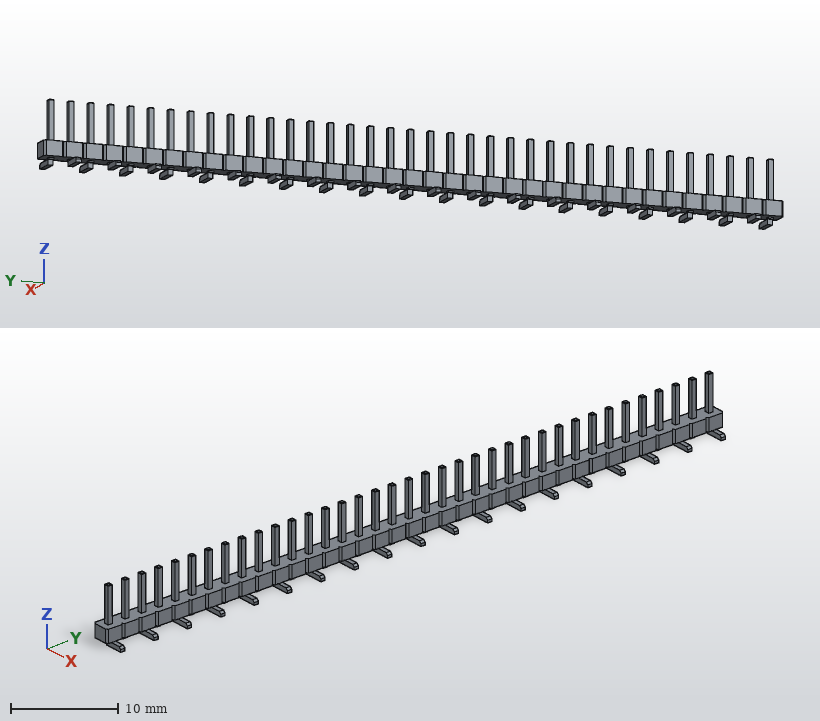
import cadquery as cq

pin_count = 37
strip_length = 74.0
pitch = strip_length / pin_count
overall_height = 6.2
foot_span = 4.2

body_width = 2.0
body_bottom = 0.7
body_height = 1.5
bevel_depth = 0.2
bevel_length = 0.185

pin_width = 0.5
foot_thickness = 0.5
foot_bevel = 0.2
pin_bevel = 0.1


def pin_y(index):
    """Position of a pin along the strip, centred on the origin."""
    return (index - (pin_count - 1) / 2) * pitch


def make_body():
    """Strip of bevelled segments, leaving a V notch where two segments meet."""
    half_width = body_width / 2
    half_pitch = pitch / 2
    side = []
    for index in range(pin_count):
        y = pin_y(index)
        side += [
            (half_width - bevel_depth, y - half_pitch),
            (half_width, y - half_pitch + bevel_length),
            (half_width, y + half_pitch - bevel_length),
        ]
    side.append((half_width - bevel_depth, strip_length / 2))
    opposite_side = [(-x, y) for x, y in reversed(side)]
    return (
        cq.Workplane("XY", origin=(0, 0, body_bottom))
        .polyline(side + opposite_side)
        .close()
        .extrude(body_height)
    )


def make_pin(index):
    """Upright pin whose foot runs from its centre to +X (even index) or -X (odd)."""
    direction = 1 if index % 2 == 0 else -1
    half_pin = pin_width / 2
    tip = foot_span / 2
    profile = [
        (-half_pin, overall_height),
        (-half_pin, foot_thickness),
        (0, foot_thickness),
        (0, 0),
        (tip, 0),
        (tip, foot_thickness - foot_bevel),
        (tip - foot_bevel, foot_thickness),
        (half_pin, foot_thickness),
        (half_pin, overall_height),
    ]
    return (
        cq.Workplane("XZ", origin=(0, pin_y(index) + half_pin, 0))
        .polyline([(direction * x, z) for x, z in profile])
        .close()
        .extrude(pin_width)
        .faces(">Z")
        .chamfer(pin_bevel)
    )


result = make_body()
for pin_index in range(pin_count):
    result = result.union(make_pin(pin_index))